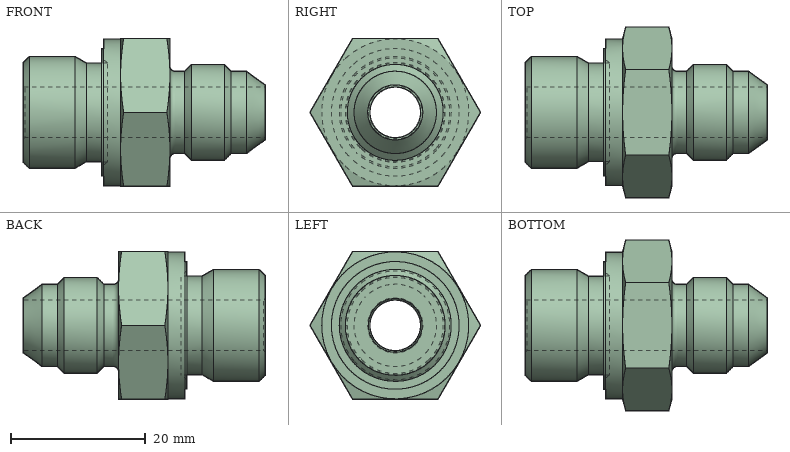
import cadquery as cq
import math

total_length = 36.0

stud_radius = 8.33
stud_chamfer = 0.9
stud_thread_end = 7.7
stud_groove_radius = 7.35
runout_angle = 30.0

lip_radius = 9.5
lip_start = 11.67
lip_thickness = 0.3
collar_radius = 10.93
collar_start = lip_start + lip_thickness

recess_mouth_radius = 8.1
recess_depth = 0.85

hex_start = 14.47
hex_width = 7.36
hex_end = hex_start + hex_width
hex_across_flats = 22.0
hex_across_corners = hex_across_flats / math.cos(math.radians(30))
hex_chamfer_angle = 15.0
hex_face_radius = 10.95

neck_radius = 6.13
neck_fillet = 0.75
flare_thread_radius = 7.14
flare_thread_chamfer = flare_thread_radius - neck_radius
flare_chamfer_start = 24.0
flare_thread_end = 30.92
cone_start = 33.2
nose_radius = 4.1

bore_radius = 3.75
bore_chamfer = 0.25


def revolve_about_x(profile):
    """Turn a closed profile drawn as (x, radius) about the X axis."""
    return profile.close().revolve(360, (0, 0, 0), (1, 0, 0))


def make_stud_and_collar():
    """Stud, run-out groove, recessed sealing lip and collar."""
    groove_depth = stud_radius - stud_groove_radius
    groove_start = stud_thread_end + groove_depth / math.tan(math.radians(runout_angle))
    profile = (
        cq.Workplane("XY")
        .lineTo(0, stud_radius - stud_chamfer)
        .lineTo(stud_chamfer, stud_radius)
        .lineTo(stud_thread_end, stud_radius)
        .lineTo(groove_start, stud_groove_radius)
        .lineTo(lip_start + recess_depth, stud_groove_radius)
        .lineTo(lip_start, recess_mouth_radius)
        .lineTo(lip_start, lip_radius)
        .lineTo(collar_start, lip_radius)
        .lineTo(collar_start, collar_radius)
        .lineTo(hex_start, collar_radius)
        .lineTo(hex_start, 0)
    )
    return revolve_about_x(profile)


def make_hexagon():
    """Hexagonal prism whose corners are cut back by a cone at both ends."""
    prism = cq.Workplane("YZ", origin=(hex_start, 0, 0)).polygon(6, hex_across_corners).extrude(hex_width)
    corner_radius = hex_across_corners / 2
    corner_setback = (corner_radius - hex_face_radius) * math.tan(math.radians(hex_chamfer_angle))
    envelope = (
        cq.Workplane("XY")
        .moveTo(hex_start, 0)
        .lineTo(hex_start, hex_face_radius)
        .lineTo(hex_start + corner_setback, corner_radius)
        .lineTo(hex_end - corner_setback, corner_radius)
        .lineTo(hex_end, hex_face_radius)
        .lineTo(hex_end, 0)
    )
    return prism.intersect(revolve_about_x(envelope))


def make_flare_end():
    """Neck filleted into the hexagon, thread, nose cylinder and cone."""
    profile = (
        cq.Workplane("XY")
        .moveTo(hex_end, 0)
        .lineTo(hex_end, neck_radius + neck_fillet)
        .radiusArc((hex_end + neck_fillet, neck_radius), -neck_fillet)
        .lineTo(flare_chamfer_start, neck_radius)
        .lineTo(flare_chamfer_start + flare_thread_chamfer, flare_thread_radius)
        .lineTo(flare_thread_end - flare_thread_chamfer, flare_thread_radius)
        .lineTo(flare_thread_end, neck_radius)
        .lineTo(cone_start, neck_radius)
        .lineTo(total_length, nose_radius)
        .lineTo(total_length, 0)
    )
    return revolve_about_x(profile)


def make_bore():
    """Through bore with a small chamfer at the stud end."""
    profile = (
        cq.Workplane("XY")
        .lineTo(0, bore_radius + bore_chamfer)
        .lineTo(bore_chamfer, bore_radius)
        .lineTo(total_length, bore_radius)
        .lineTo(total_length, 0)
    )
    return revolve_about_x(profile)


body = make_stud_and_collar().union(make_hexagon()).union(make_flare_end())
result = body.cut(make_bore())